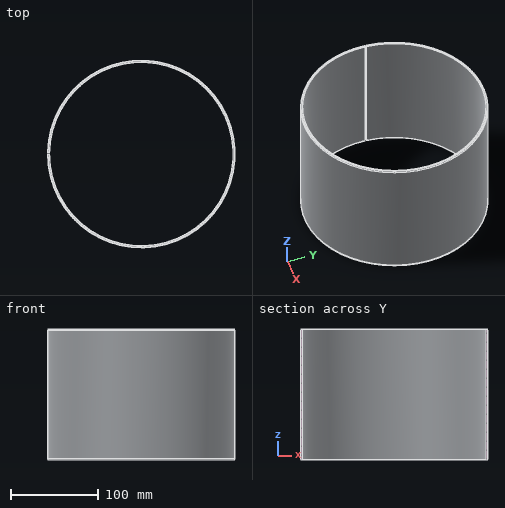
import cadquery as cq

outer_diameter = 215.0
wall_thickness = 2.45
height = 150.0
gap_angle = 1.0

outer_bevel_height = 1.75
outer_bevel_depth = 0.6
inner_bevel_height = 0.5
inner_bevel_depth = 0.35

full_turn = 360.0
outer_radius = outer_diameter / 2
inner_radius = outer_radius - wall_thickness


def make_split_sleeve():
    """Revolve the bevelled wall section about Z from -X through -Y, +X and +Y."""
    rim_outer_radius = outer_radius - outer_bevel_depth
    rim_inner_radius = inner_radius + inner_bevel_depth
    wall_section = (
        cq.Workplane("XZ")
        .moveTo(-rim_inner_radius, 0)
        .lineTo(-rim_outer_radius, 0)
        .lineTo(-outer_radius, outer_bevel_height)
        .lineTo(-outer_radius, height - outer_bevel_height)
        .lineTo(-rim_outer_radius, height)
        .lineTo(-rim_inner_radius, height)
        .lineTo(-inner_radius, height - inner_bevel_height)
        .lineTo(-inner_radius, inner_bevel_height)
        .close()
    )
    return wall_section.revolve(full_turn - gap_angle, (0, 0, 0), (0, 1, 0))


result = make_split_sleeve()